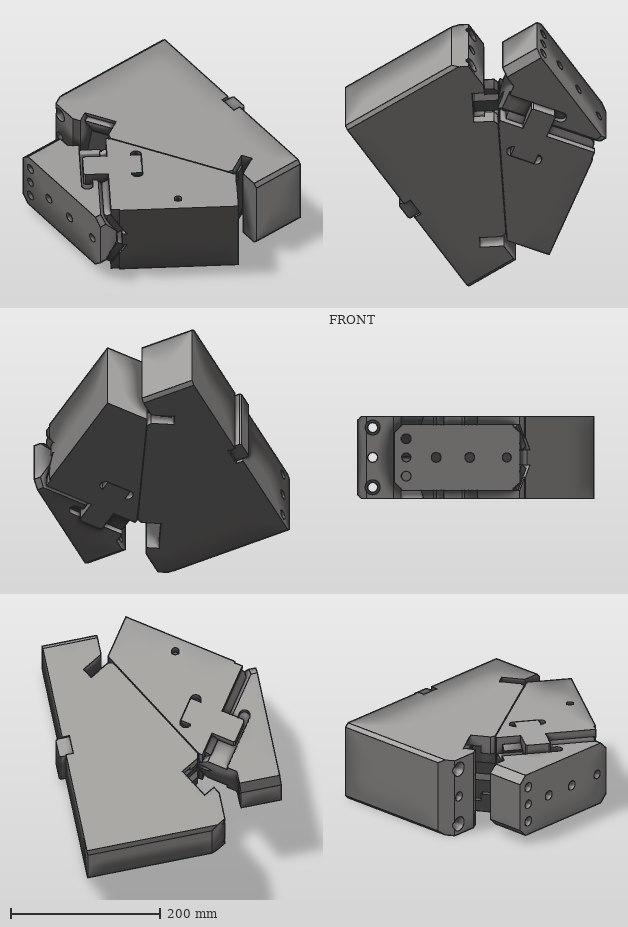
import cadquery as cq
import math

HEIGHT = 110.0
MID_Z = HEIGHT / 2
CLEAR = 400.0
CAM_ANGLE = 35.0
GUIDE_ANGLE = 30.0


def direction(degrees):
    """Unit vector in the XY plane at the given angle from +X."""
    angle = math.radians(degrees)
    return cq.Vector(math.cos(angle), math.sin(angle), 0)


CAM_ALONG = direction(-CAM_ANGLE)
CAM_ACROSS = direction(90 - CAM_ANGLE)
GUIDE_ALONG = direction(GUIDE_ANGLE)
GUIDE_ACROSS = direction(90 + GUIDE_ANGLE)


def frame_box(along, across, along_range, across_range, z_range):
    """Box with its sides along the two given horizontal directions."""
    length = along_range[1] - along_range[0]
    width = across_range[1] - across_range[0]
    origin = along * along_range[0] + across * across_range[0] + cq.Vector(0, 0, z_range[0])
    plane = cq.Plane(origin=origin, xDir=along, normal=(0, 0, 1))
    return cq.Workplane(plane).box(length, width, z_range[1] - z_range[0], centered=False)


def frame_prism(along, across, along_range, profile):
    """Profile of (across, height above mid plane) points swept along a horizontal direction."""
    origin = along * along_range[0] + cq.Vector(0, 0, MID_Z)
    plane = cq.Plane(origin=origin, xDir=across, normal=along)
    return cq.Workplane(plane).polyline(profile).close().extrude(along_range[1] - along_range[0])


def cam_box(along_range, across_range, z_range):
    return frame_box(CAM_ALONG, CAM_ACROSS, along_range, across_range, z_range)


def cam_prism(along_range, profile):
    return frame_prism(CAM_ALONG, CAM_ACROSS, along_range, profile)


def guide_box(along_range, across_range, z_range):
    return frame_box(GUIDE_ALONG, GUIDE_ACROSS, along_range, across_range, z_range)


def guide_prism(along_range, profile):
    return frame_prism(GUIDE_ALONG, GUIDE_ACROSS, along_range, profile)


def mirrored(profile):
    """Closes a profile of upper points with its mirror image below the mid plane."""
    return profile + [(across, -height) for across, height in reversed(profile)]


def cam_cylinder(along, across, radius, z_range):
    """Upright cylinder placed in the cam frame."""
    centre = CAM_ALONG * along + CAM_ACROSS * across
    return (
        cq.Workplane("XY", origin=(centre.x, centre.y, z_range[0]))
        .circle(radius)
        .extrude(z_range[1] - z_range[0])
    )


def with_mirror(body):
    """A body together with its mirror image about the mid plane."""
    return body.union(body.mirror("XY", (0, 0, MID_Z)))


def hole_along_y(x, z, diameter, length):
    """Cylinder that starts at Y = 0 and runs toward +Y."""
    plane = cq.Plane(origin=(x, 0, z), xDir=(1, 0, 0), normal=(0, 1, 0))
    return cq.Workplane(plane).circle(diameter / 2).extrude(length)


SLIDER_FACE = 33.0
BASE_FACE = 34.0
HEAD_START = 140.0
HEAD_END = 320.0
HEAD_CHAMFER = 5.0
HEAD_TOP = 66.0
TEE_STEP = 52.0
NECK_HALF = 30.0
TEE_HALF = 40.0
TONGUE_START = HEAD_START + 8
TONGUE_END = HEAD_END + 3

tee_profile = mirrored([
    (SLIDER_FACE, NECK_HALF),
    (TEE_STEP, NECK_HALF),
    (TEE_STEP, TEE_HALF),
    (HEAD_TOP, TEE_HALF),
])

BASE_LENGTH = 300.0
BASE_BACK = 275.0
BASE_FRONT = 85.0
BASE_SHOULDER = 200.3
BASE_EDGE_CHAMFER = 5.0
CORNER_X = 11.5
CORNER_Y = CORNER_X * math.tan(math.radians(60))
NOTCH_START = 95.2
LIP_FACE = 49.5
SLOT_END = 335.0
SLOT_DEPTH = 69.5
VALLEY_HALF = 1.0
UNDERCUT_SLOPE = math.tan(math.radians(32))
KEY_X = 155.4
KEY_WIDTH = 25.4
KEY_START = 265.0
KEY_END = 284.0
KEY_CHAMFER = 2.0
KEY_INSET = 5.0
BASE_HOLE_X = 20.0
BASE_HOLE_DIAMETER = 13.0
COUNTERBORE_DIAMETER = 20.0
COUNTERBORE_DEPTH = 60.0
BASE_HOLE_PITCH = 40.0


def make_key():
    key = cq.Workplane("XY").box(
        KEY_WIDTH, KEY_END - KEY_START, HEIGHT - 2 * KEY_INSET, centered=(True, False, True)
    )
    key = key.faces(">Y").edges("|Z").chamfer(KEY_CHAMFER)
    return key.translate((KEY_X, KEY_START, MID_Z))


def base_outline():
    """Plan outline of the base, clockwise from the back left corner."""
    def guide_point(along, across):
        point = GUIDE_ALONG * along + GUIDE_ACROSS * across
        return (point.x, point.y)

    tilt = math.radians(GUIDE_ANGLE)
    lip_x = (BASE_FRONT * math.cos(tilt) - LIP_FACE) / math.sin(tilt)
    slot_x = (SLOT_END - BASE_SHOULDER * math.sin(tilt)) / math.cos(tilt)
    return [
        (0, BASE_BACK),
        (BASE_LENGTH, BASE_BACK),
        (BASE_LENGTH, BASE_SHOULDER),
        (slot_x, BASE_SHOULDER),
        guide_point(SLOT_END, SLOT_DEPTH),
        guide_point(HEAD_END, SLOT_DEPTH),
        guide_point(HEAD_END, BASE_FACE + HEAD_CHAMFER),
        guide_point(HEAD_END - HEAD_CHAMFER, BASE_FACE),
        guide_point(HEAD_START + HEAD_CHAMFER, BASE_FACE),
        guide_point(HEAD_START, BASE_FACE + HEAD_CHAMFER),
        guide_point(HEAD_START, HEAD_TOP),
        guide_point(NOTCH_START, HEAD_TOP),
        guide_point(NOTCH_START, LIP_FACE),
        (lip_x, BASE_FRONT),
        (CORNER_X, BASE_FRONT),
        (0, BASE_FRONT + CORNER_Y),
    ]


def make_base():
    base = cq.Workplane("XY").polyline(base_outline()).close().extrude(HEIGHT)
    for side in ("<X", ">X"):
        base = base.faces(side).edges("|Y").chamfer(BASE_EDGE_CHAMFER)

    base = base.cut(guide_prism((HEAD_START, HEAD_END), tee_profile))

    upper_depth = HEAD_TOP + (MID_Z - TEE_HALF) * UNDERCUT_SLOPE
    deepest = HEAD_TOP + (TEE_HALF - VALLEY_HALF) * UNDERCUT_SLOPE
    undercut = guide_prism(
        (NOTCH_START, HEAD_START),
        mirrored([
            (LIP_FACE, MID_Z),
            (HEAD_TOP, MID_Z),
            (upper_depth, TEE_HALF),
            (HEAD_TOP, TEE_HALF),
            (deepest, VALLEY_HALF),
        ]),
    )
    base = base.cut(undercut)

    for offset in (-BASE_HOLE_PITCH, 0, BASE_HOLE_PITCH):
        base = base.cut(hole_along_y(BASE_HOLE_X, MID_Z + offset, BASE_HOLE_DIAMETER, CLEAR))
        if offset:
            depth = BASE_FRONT + COUNTERBORE_DEPTH
            base = base.cut(hole_along_y(BASE_HOLE_X, MID_Z + offset, COUNTERBORE_DIAMETER, depth))

    keyway = cq.Workplane("XY").box(
        KEY_WIDTH, BASE_BACK - KEY_START, HEIGHT, centered=(True, False, False)
    )
    base = base.cut(keyway.translate((KEY_X, KEY_START, 0)))
    return base.union(make_key())


V_ANGLE = math.radians(32)
V_DOWN = (math.sin(V_ANGLE), -math.cos(V_ANGLE))
V_OUT = (math.cos(V_ANGLE), math.sin(V_ANGLE))
CAM_START = 31.0

DRIVER_LEFT = 49.2
DRIVER_RIGHT = 217.0
DRIVER_SHOULDER = 55.0
DRIVER_INSET = 11.0
DRIVER_HALF = MID_Z - DRIVER_INSET
DRIVER_CHAMFER = 10.5
SHOULDER_RADIUS = 5.0
RIDGE_BASE = 125.7
RIDGE_FLAT_HALF = 9.4
RIDGE_GAP = 1.2
RIDGE_PEAK = RIDGE_BASE + (DRIVER_HALF - RIDGE_FLAT_HALF) * math.tan(V_ANGLE)
DRIVER_HOLE_DIAMETER = 13.0
SMALL_HOLE_DIAMETER = 12.0
LEFT_HOLE_X = 65.0
OUTER_HOLE_PITCH = 25.0
MIDDLE_HOLE_XS = (105.0, 150.0)
RIGHT_HOLE_X = 199.6

HOOK_START = 64.2
HOOK_END = 98.2
HOOK_TIP = 106.5
HOOK_TOP_END = 185.0
HOOK_CORNER = 2.0
HOOK_UNDERSIDE = 91.5
GROOVE_FLOOR = 90.0
GROOVE_EDGE = 103.3
GROOVE_WIDTH = 15.0
GROOVE_END = 107.5


def ridge_profile(gap):
    """V ridge section reaching back to the driver front, widened by a gap across the cam."""
    return mirrored([
        (-CLEAR, DRIVER_HALF),
        (RIDGE_BASE + gap, DRIVER_HALF),
        (RIDGE_PEAK + gap, RIDGE_FLAT_HALF),
    ])


def make_driver():
    start_tilt = math.tan(math.radians(CAM_ANGLE))
    start_x = CAM_START / CAM_ALONG.x + DRIVER_SHOULDER * start_tilt
    corner = CAM_ALONG * CAM_START + CAM_ACROSS * RIDGE_PEAK
    right_y = (RIDGE_PEAK - DRIVER_RIGHT * CAM_ACROSS.x) / CAM_ACROSS.y
    driver = (
        cq.Workplane("XY", origin=(0, 0, DRIVER_INSET))
        .polyline([
            (DRIVER_LEFT, 0),
            (DRIVER_RIGHT, 0),
            (DRIVER_RIGHT, right_y),
            (corner.x, corner.y),
            (start_x, DRIVER_SHOULDER),
            (DRIVER_LEFT, DRIVER_SHOULDER),
        ])
        .close()
        .extrude(2 * DRIVER_HALF)
    )
    for side in ("<X", ">X"):
        driver = driver.faces(side).edges("|Y").chamfer(DRIVER_CHAMFER)

    shoulder_corner = cq.selectors.NearestToPointSelector((start_x, DRIVER_SHOULDER, MID_Z))
    driver = driver.edges("|Z").edges(shoulder_corner).fillet(SHOULDER_RADIUS)

    driver = driver.intersect(cam_prism((-CLEAR, CLEAR), ridge_profile(0)))

    groove_z = (GROOVE_FLOOR, HEIGHT)
    groove_top = GROOVE_EDGE + GROOVE_WIDTH
    groove = cam_box((0, GROOVE_END), (GROOVE_EDGE, groove_top), groove_z)
    groove = groove.union(
        cam_cylinder(GROOVE_END, GROOVE_EDGE + GROOVE_WIDTH / 2, GROOVE_WIDTH / 2, groove_z)
    )
    groove = groove.union(cam_box((0, HOOK_END), (GROOVE_EDGE, RIDGE_PEAK), groove_z))
    driver = driver.cut(with_mirror(groove))

    holes = [
        (LEFT_HOLE_X, OUTER_HOLE_PITCH, DRIVER_HOLE_DIAMETER),
        (LEFT_HOLE_X, 0, SMALL_HOLE_DIAMETER),
        (LEFT_HOLE_X, -OUTER_HOLE_PITCH, DRIVER_HOLE_DIAMETER),
        (RIGHT_HOLE_X, 0, SMALL_HOLE_DIAMETER),
    ]
    holes += [(x, 0, DRIVER_HOLE_DIAMETER) for x in MIDDLE_HOLE_XS]
    for x, offset, diameter in holes:
        driver = driver.cut(hole_along_y(x, MID_Z + offset, diameter, CLEAR))
    return driver


SLIDER_END = 168.8
SLIDER_FRONT = 139.5
SLIDER_BACK = 310.0
END_STEP = 1.8
END_STEP_TOP = 151.0
SEAT_HALF = 44.4
SEAT_FLOOR = 154.5
SEAT_FLOOR_HALF = 10.0
PLATE_THICKNESS = 10.8
PLATE_LENGTH = 34.5
PLATE_START = 39.5
PLATE_END = 164.4
PLATE_FRONT = 15.8
RELIEF_RADIUS = 7.5
HOOK_GAP = 0.6
PIN_HOLE_CENTRE = (255.2, 102.2)
PIN_HOLE_DIAMETER = 10.0
PIN_HOLE_DEPTH = 20.0
SPRING_SLOT_HALF = 13.0
SPRING_SLOT_DEPTH = 21.0


def make_wear_plate():
    """Upper plate of the V, lying on the seat."""
    seat = (SLIDER_FRONT, SEAT_HALF)
    far = (seat[0] + V_DOWN[0] * PLATE_LENGTH, seat[1] + V_DOWN[1] * PLATE_LENGTH)
    drop = (V_OUT[0] * PLATE_THICKNESS, V_OUT[1] * PLATE_THICKNESS)
    plate = cam_prism(
        (PLATE_START, PLATE_END),
        [seat, far, (far[0] - drop[0], far[1] - drop[1]), (seat[0] - drop[0], seat[1] - drop[1])],
    )
    corner = cq.Workplane("XY").box(CLEAR, PLATE_FRONT, HEIGHT, centered=False)
    return plate.cut(corner)


def make_hook_pocket():
    """Round reliefs and narrow gap around the back end of a hook."""
    pocket_z = (HOOK_UNDERSIDE, HEIGHT)
    pocket = cam_box((HOOK_START, HOOK_END), (HOOK_TOP_END, HOOK_TOP_END + HOOK_GAP), pocket_z)
    for along in (HOOK_START, HOOK_END):
        centre = HOOK_TOP_END + HOOK_GAP - RELIEF_RADIUS
        pocket = pocket.union(cam_cylinder(along, centre, RELIEF_RADIUS, pocket_z))
    return pocket


def make_hook():
    hook = cam_box((HOOK_START, HOOK_END), (HOOK_TIP, HOOK_TOP_END), (HOOK_UNDERSIDE, HEIGHT))
    return hook.faces("<Y").edges("|Z").chamfer(HOOK_CORNER)


def make_slider():
    full = (0, HEIGHT)
    slider = cam_box((CAM_START, SLIDER_END), (SLIDER_FRONT, SLIDER_BACK), full)
    slider = slider.cut(guide_box((-CLEAR, CLEAR), (SLIDER_FACE, CLEAR), full))

    tongue = guide_prism((TONGUE_START, CLEAR), tee_profile)
    beyond_head = guide_box((TONGUE_END, CLEAR), (0, CLEAR), full)
    beyond_back = cam_box((0, CLEAR), (SLIDER_BACK, CLEAR), full)
    tongue = tongue.cut(beyond_head.intersect(beyond_back))
    spring_slot = guide_box(
        (TONGUE_START, TONGUE_START + SPRING_SLOT_DEPTH),
        (SLIDER_FACE, HEAD_TOP),
        (MID_Z - SPRING_SLOT_HALF, MID_Z + SPRING_SLOT_HALF),
    )
    slider = slider.union(tongue).cut(spring_slot)

    slider = slider.cut(cam_box((SLIDER_END - END_STEP, CLEAR), (0, END_STEP_TOP), full))
    seat_end = SLIDER_FRONT + (SEAT_HALF - SEAT_FLOOR_HALF) * math.tan(V_ANGLE)
    seat = mirrored([
        (SLIDER_FRONT, SEAT_HALF),
        (seat_end, SEAT_FLOOR_HALF),
        (SEAT_FLOOR, SEAT_FLOOR_HALF),
    ])
    slider = slider.cut(cam_prism((PLATE_START, CLEAR), seat))
    slider = slider.cut(cam_prism((0, PLATE_START), ridge_profile(RIDGE_GAP)))
    slider = slider.union(with_mirror(make_wear_plate()))

    slider = slider.cut(with_mirror(make_hook_pocket()))
    slider = slider.union(with_mirror(make_hook()))

    pin_hole = (
        cq.Workplane("XY", origin=(*PIN_HOLE_CENTRE, HEIGHT - PIN_HOLE_DEPTH))
        .circle(PIN_HOLE_DIAMETER / 2)
        .extrude(PIN_HOLE_DEPTH)
    )
    return slider.cut(pin_hole)


base = make_base()
driver = make_driver()
slider = make_slider()
result = cq.Compound.makeCompound([base.val(), driver.val(), slider.val()])